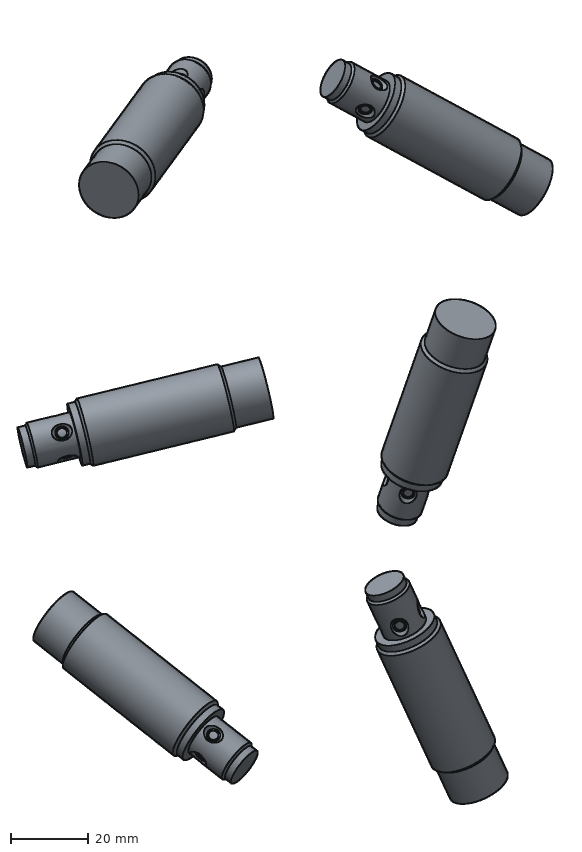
import cadquery as cq

length = 65.0
body_radius = 18.0 / 2

nose_radius = 16.4 / 2
nose_length = 10.0
front_bevel_length = 0.8

collar_radius = 16.6 / 2
collar_length = 2.0
collar_bevel_length = 0.7

neck_radius = 12.0 / 2
tip_radius = 10.8 / 2
tip_length = 2.0
tip_bevel_length = 0.6
connector_length = 14.0

window_count = 4
window_from_rear = 10.5
countersink_radius = 2.65
seat_radius = 1.75
lens_radius = 1.3
inner_cylinder_radius = 5.0

front_y = -length / 2
rear_y = length / 2
nose_end_y = front_y + nose_length
collar_rear_y = rear_y - connector_length
collar_front_y = collar_rear_y - collar_length
tip_front_y = rear_y - tip_length


def turned_body():
    """Revolve the stepped half-outline about the Y axis."""
    return (
        cq.Workplane("XY")
        .moveTo(0, front_y)
        .lineTo(nose_radius, front_y)
        .lineTo(nose_radius, nose_end_y)
        .lineTo(body_radius, nose_end_y + front_bevel_length)
        .lineTo(body_radius, collar_front_y - collar_bevel_length)
        .lineTo(collar_radius, collar_front_y)
        .lineTo(collar_radius, collar_rear_y)
        .lineTo(neck_radius, collar_rear_y)
        .lineTo(neck_radius, tip_front_y - tip_bevel_length)
        .lineTo(tip_radius, tip_front_y)
        .lineTo(tip_radius, rear_y)
        .lineTo(0, rear_y)
        .close()
        .revolve(360, (0, 0, 0), (0, 1, 0))
    )


def window_cutter():
    """Countersunk recess on the +Z side, with a floor curved about the part's axis."""
    overshoot = 0.65
    seat_z = neck_radius - (countersink_radius - seat_radius)
    window_y = rear_y - window_from_rear
    countersink = (
        cq.Workplane("XZ")
        .moveTo(0, seat_z)
        .lineTo(seat_radius, seat_z)
        .lineTo(countersink_radius + overshoot, neck_radius + overshoot)
        .lineTo(0, neck_radius + overshoot)
        .close()
        .revolve(360, (0, 0, 0), (0, 1, 0))
        .translate((0, window_y, 0))
    )
    lens_hole = cq.Workplane("XY").center(0, window_y).circle(lens_radius).extrude(neck_radius)
    inner_cylinder = (
        cq.Workplane("XZ", origin=(0, rear_y, 0))
        .circle(inner_cylinder_radius)
        .extrude(connector_length)
    )
    return countersink.union(lens_hole.cut(inner_cylinder))


result = turned_body()
for index in range(window_count):
    angle = index * 360 / window_count
    result = result.cut(window_cutter().rotate((0, 0, 0), (0, 1, 0), angle))